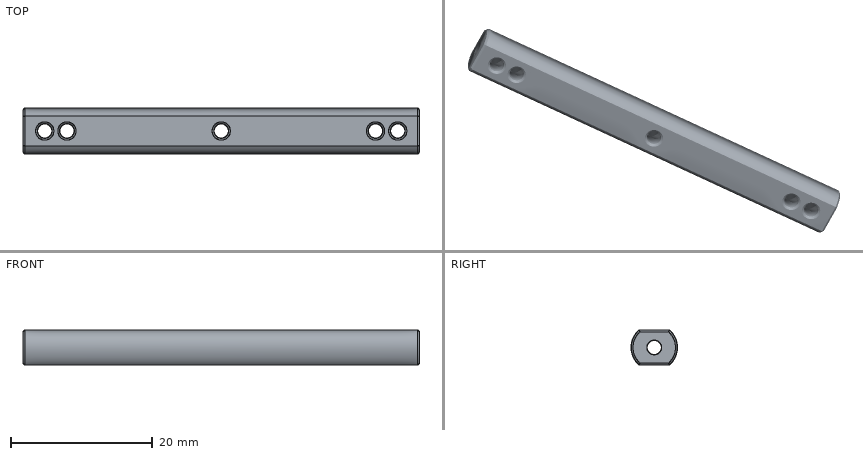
import cadquery as cq

length = 56.25
bar_diameter = 6.6
across_flats = 5.0
end_chamfer = 0.3

bore_diameter = 2.0
cross_hole_diameter = 2.0
countersink_diameter = 2.6
outer_hole_x = 25.05
inner_hole_x = 21.9
cross_hole_positions = [-outer_hole_x, -inner_hole_x, 0.0, inner_hole_x, outer_hole_x]


def flatted_bar():
    """Round bar, trimmed to the flats and chamfered around both end faces."""
    bar = cq.Workplane("YZ").circle(bar_diameter / 2).extrude(length / 2, both=True)
    flats = cq.Workplane("XY").box(length, bar_diameter, across_flats)
    return bar.intersect(flats).faces("<X or >X").chamfer(end_chamfer)


def axial_bore():
    """Plain hole through the full length of the bar."""
    return cq.Workplane("YZ").circle(bore_diameter / 2).extrude(length / 2, both=True)


def cross_hole(x):
    """Vertical through hole with a 45 degree countersink at each flat."""
    hole_radius = cross_hole_diameter / 2
    rim_radius = countersink_diameter / 2
    rim_z = across_flats / 2
    cone_z = rim_z - (rim_radius - hole_radius)
    half_section = [
        (0, -rim_z),
        (rim_radius, -rim_z),
        (hole_radius, -cone_z),
        (hole_radius, cone_z),
        (rim_radius, rim_z),
        (0, rim_z),
    ]
    cutter = cq.Workplane("XZ").polyline(half_section).close().revolve(360, (0, 0), (0, 1))
    return cutter.translate((x, 0, 0))


result = flatted_bar().cut(axial_bore())
for hole_x in cross_hole_positions:
    result = result.cut(cross_hole(hole_x))